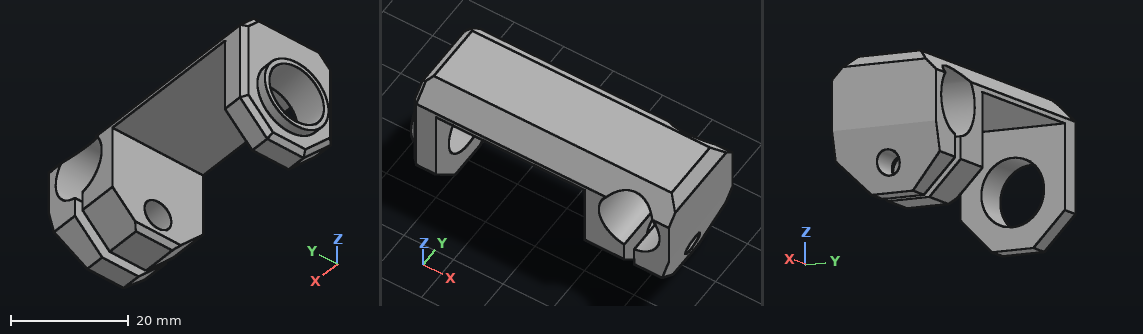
import cadquery as cq

length = 54.0
width = 20.0
height = 26.0

collar_length = 2.0
collar_diameter = 14.0
collar_bore = 12.0
collar_z = 10.0

post_thickness = 5.0
post_end_x = collar_length + post_thickness
clamp_start_x = 37.0
bridge_thickness = 4.95
bridge_underside_z = height - bridge_thickness
clamp_bottom_z = 2.0

top_side_bevel = 4.0
bottom_side_bevel = 6.0
top_end_bevel = 2.0
post_face_bevel = 1.0
clamp_inner_bevel = 1.0
taper_start_z = 13.0
taper_run = 2.95

clamp_bore = 12.25
clamp_bore_x = 46.0
clamp_bore_z = 18.0
slit_width = 2.0
screw_hole_z = 7.0
screw_entry_diameter = 5.9
screw_hole_diameter = 4.3


def bevelled_bar(start_x, end_x, bottom_z):
    """Bar along X whose four long edges are bevelled at 45 degrees."""
    half = width / 2
    top_half = half - top_side_bevel
    bottom_half = half - bottom_side_bevel
    section = [
        (-bottom_half, bottom_z),
        (bottom_half, bottom_z),
        (half, bottom_z + bottom_side_bevel),
        (half, height - top_side_bevel),
        (top_half, height),
        (-top_half, height),
        (-half, height - top_side_bevel),
        (-half, bottom_z + bottom_side_bevel),
    ]
    return cq.Workplane("YZ", origin=(start_x, 0, 0)).polyline(section).close().extrude(end_x - start_x)


def side_prism(points):
    """Prism spanning the full width, from an outline in X and Z."""
    return cq.Workplane("XZ").polyline(points).close().extrude(width / 2, both=True)


def rod(diameter, start_x, end_x, z):
    """Cylinder along X on the centre plane."""
    return cq.Workplane("YZ", origin=(start_x, 0, z)).circle(diameter / 2).extrude(end_x - start_x)


post = bevelled_bar(collar_length, clamp_start_x, 0).faces("<X").chamfer(post_face_bevel)
clamp = bevelled_bar(clamp_start_x, length, clamp_bottom_z)
body = post.union(clamp)

side_outline = [
    (collar_length, 0),
    (post_end_x, 0),
    (post_end_x, bridge_underside_z),
    (clamp_start_x, bridge_underside_z),
    (clamp_start_x, clamp_bottom_z + clamp_inner_bevel),
    (clamp_start_x + clamp_inner_bevel, clamp_bottom_z),
    (length - taper_run, clamp_bottom_z),
    (length, taper_start_z),
    (length, height - top_end_bevel),
    (length - top_end_bevel, height),
    (collar_length + top_end_bevel, height),
    (collar_length, height - top_end_bevel),
]
body = body.intersect(side_prism(side_outline))

body = body.union(rod(collar_diameter, 0, collar_length, collar_z))
body = body.cut(rod(collar_bore, 0, post_end_x, collar_z))

bore = (
    cq.Workplane("XZ", origin=(clamp_bore_x, 0, clamp_bore_z))
    .circle(clamp_bore / 2)
    .extrude(width / 2, both=True)
)
slit = cq.Workplane("XY", origin=(clamp_bore_x, 0, 0)).box(
    slit_width, width, clamp_bore_z, centered=(True, True, False)
)
body = body.cut(bore).cut(slit)

body = body.cut(rod(screw_entry_diameter, clamp_start_x, clamp_bore_x, screw_hole_z))
body = body.cut(rod(screw_hole_diameter, clamp_bore_x, length, screw_hole_z))

result = body